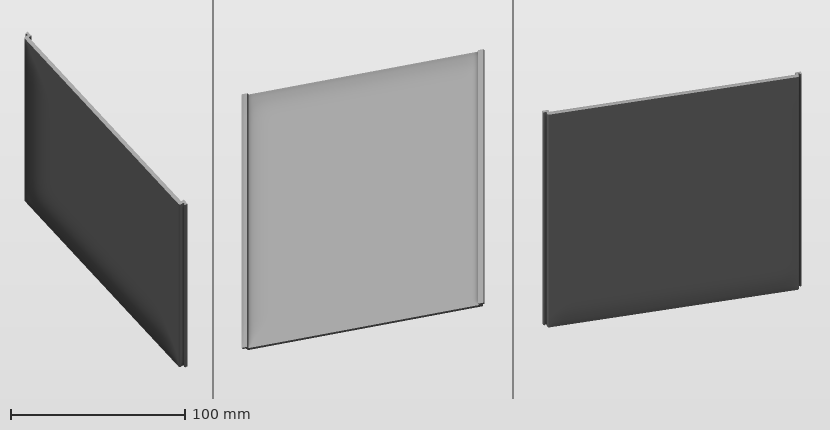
import cadquery as cq

width = 152.3
depth = 4.3
height = 160.0

lip_width = 0.8
lip_depth = 2.0
flange_thickness = 1.5
wall_inset = 2.0
wall_thickness = 1.6
panel_thickness = 2.4
front_radius = 1.04
lip_chamfer = 0.5

side = width / 2
back = depth / 2
front = -depth / 2
wall_outer = side - wall_inset
wall_inner = wall_outer - wall_thickness
panel_back = front + panel_thickness
flange_front = back - flange_thickness
lip_front = back - lip_depth
lip_inner = side - lip_width

half_profile = (
    cq.Workplane("XY")
    .workplane(offset=-height / 2)
    .moveTo(0, panel_back)
    .lineTo(wall_inner, panel_back)
    .lineTo(wall_inner, back)
    .lineTo(side, back)
    .lineTo(side, lip_front + lip_chamfer)
    .lineTo(side - lip_chamfer, lip_front)
    .lineTo(lip_inner, lip_front)
    .lineTo(lip_inner, flange_front)
    .lineTo(wall_outer, flange_front)
    .lineTo(wall_outer, front + front_radius)
    .radiusArc((wall_outer - front_radius, front), front_radius)
    .lineTo(0, front)
    .close()
)

half_panel = half_profile.extrude(height)
result = half_panel.union(half_panel.mirror("YZ")).clean()